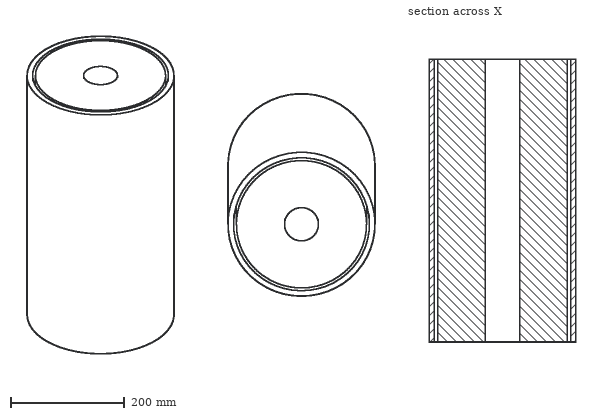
import cadquery as cq

length = 500.0
sleeve_outer_diameter = 260.0
sleeve_wall = 10.0
radial_gap = 5.0
bore_diameter = 60.0

sleeve_inner_diameter = sleeve_outer_diameter - 2 * sleeve_wall
core_diameter = sleeve_inner_diameter - 2 * radial_gap


def make_tube(outer_diameter, inner_diameter):
    """Full-length tube along Z, standing on the XY plane."""
    return (
        cq.Workplane("XY")
        .circle(outer_diameter / 2)
        .circle(inner_diameter / 2)
        .extrude(length)
    )


sleeve = make_tube(sleeve_outer_diameter, sleeve_inner_diameter)

core = make_tube(core_diameter, bore_diameter)

result = cq.Compound.makeCompound([sleeve.val(), core.val()])